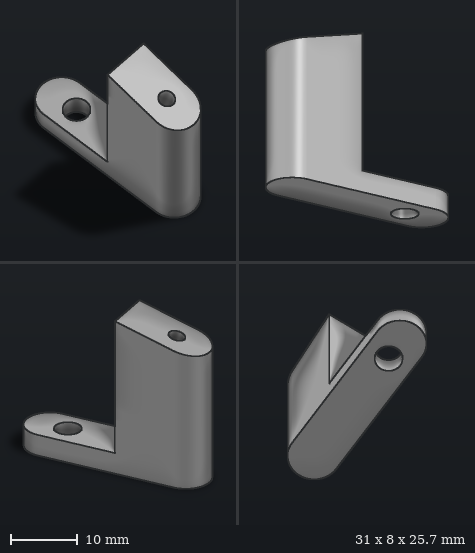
import cadquery as cq
import math

length = 31.0
width = 8.0
height = 25.67
end_radius = width / 2

foot_thickness = 3.5
post_start = 17.05
slope_angle = 15.0
slope_drop = (length - post_start) * math.tan(math.radians(slope_angle))

foot_hole_diameter = 4.2
foot_hole_x = 7.0

post_hole_diameter = 2.6
post_hole_x = 25.48
post_hole_depth = 12.4


def make_body():
    """L-shaped side profile trimmed to a plan with two round ends."""
    profile = (
        cq.Workplane("XZ")
        .polyline([
            (0, 0),
            (length, 0),
            (length, height - slope_drop),
            (post_start, height),
            (post_start, foot_thickness),
            (0, foot_thickness),
        ])
        .close()
        .extrude(end_radius, both=True)
    )
    plan = cq.Workplane("XY").center(length / 2, 0).slot2D(length, width).extrude(height)
    return profile.intersect(plan)


def make_foot_hole():
    return cq.Workplane("XY").center(foot_hole_x, 0).circle(foot_hole_diameter / 2).extrude(foot_thickness)


def make_post_hole():
    angle = math.radians(slope_angle)
    mouth_z = height - (post_hole_x - post_start) * math.tan(angle)
    slope_plane = cq.Plane(
        origin=(post_hole_x, 0, mouth_z),
        xDir=(0, 1, 0),
        normal=(math.sin(angle), 0, math.cos(angle)),
    )
    return cq.Workplane(slope_plane).circle(post_hole_diameter / 2).extrude(-post_hole_depth)


result = make_body().cut(make_foot_hole()).cut(make_post_hole())